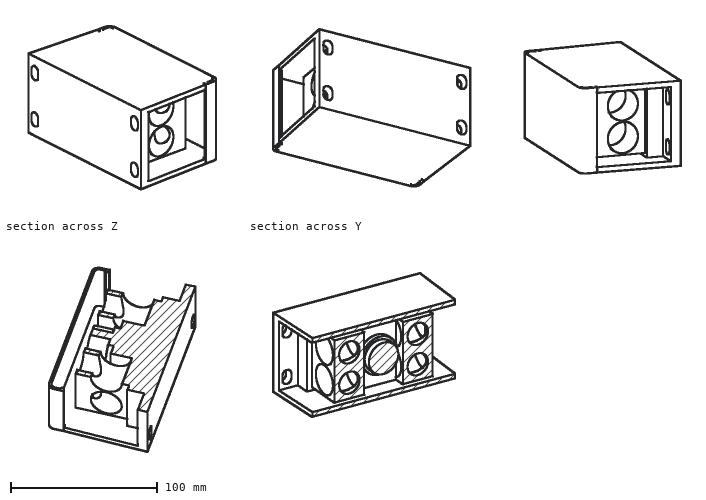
import cadquery as cq

width = 118.0
depth = 72.0
height = 60.0

front_wall = 7.1
plate_thickness = 3.9
cavity_height = height - 2 * plate_thickness
shoulder_y = 60.0

cover_thickness = 2.0
side_inset = 2.0
cover_outer_radius = 5.0
cover_inner_radius = cover_outer_radius - cover_thickness
lip_gap = 0.5
side_gap = 0.2
bead_radius = 2.0
bead_reach = 1.2
cover_half_width = width / 2 - side_inset
inner_half_width = cover_half_width - cover_thickness
cover_inner_y = depth - cover_thickness
lip_y = shoulder_y + lip_gap

slot_width = 7.1
slot_length = 10.5
slot_spacing_x = 104.5
slot_spacing_z = 35.0

base_back_y = 18.9
block_back_y = 56.9
block_height = 47.4
block_width = 24.1
block_outer_x = 39.5
base_margin = 4.0
block_center_x = block_outer_x - block_width / 2
cable_hole_diameter = 22.0
cable_hole_spacing = 23.0
cable_hole_y = 34.9
screw_bore_diameter = 16.0

pedestal_back_y = 38.9
pedestal_width = 2 * (block_outer_x - block_width)
collar_diameter = 28.5
collar_height = 3.9
stud_diameter = 24.1


def box_between(x_size, z_size, y_start, y_end, x_center=0):
    """Box centred on z = 0 that spans y_start to y_end."""
    box = cq.Workplane("XY").box(x_size, y_end - y_start, z_size, centered=(True, False, True))
    return box.translate((x_center, y_start, 0))


def y_cylinder(diameter, y_start, y_end, x=0, z=0):
    """Cylinder along +Y."""
    return cq.Workplane(
        cq.Solid.makeCylinder(diameter / 2, y_end - y_start, cq.Vector(x, y_start, z), cq.Vector(0, 1, 0))
    )


def make_housing():
    recess_half_width = inner_half_width - side_gap
    outline = (
        cq.Workplane("XY")
        .workplane(offset=-height / 2)
        .moveTo(-width / 2, 0)
        .lineTo(width / 2, 0)
        .lineTo(cover_half_width, shoulder_y)
        .lineTo(recess_half_width, shoulder_y)
        .lineTo(recess_half_width, cover_inner_y - cover_inner_radius)
        .radiusArc((recess_half_width - cover_inner_radius, cover_inner_y), -cover_inner_radius)
        .lineTo(cover_inner_radius - recess_half_width, cover_inner_y)
        .radiusArc((-recess_half_width, cover_inner_y - cover_inner_radius), -cover_inner_radius)
        .lineTo(-recess_half_width, shoulder_y)
        .lineTo(-cover_half_width, shoulder_y)
        .close()
    )
    housing = outline.extrude(height)
    cavity = box_between(width, cavity_height, front_wall, depth)
    slots = (
        cq.Workplane("XZ")
        .rarray(slot_spacing_x, slot_spacing_z, 2, 2)
        .slot2D(slot_length, slot_width, 90)
        .extrude(-front_wall)
    )
    return housing.cut(cavity).cut(slots)


def make_cover():
    outer = box_between(2 * cover_half_width, height, lip_y, depth)
    outer = outer.edges("|Z and >Y").fillet(cover_outer_radius)
    inner = box_between(2 * inner_half_width, height, lip_y, cover_inner_y)
    inner = inner.edges("|Z and >Y").fillet(cover_inner_radius)
    cover = outer.cut(inner)

    bead_tip_x = inner_half_width - bead_reach
    bead_tip_y = lip_y + bead_radius
    bead = (
        cq.Workplane("XY")
        .workplane(offset=-height / 2)
        .moveTo(bead_tip_x + bead_radius, lip_y)
        .radiusArc((bead_tip_x, bead_tip_y), bead_radius)
        .lineTo(inner_half_width, bead_tip_y + bead_reach)
        .lineTo(bead_tip_x + bead_radius, bead_tip_y + bead_reach)
        .close()
        .extrude(height)
    )
    return cover.union(bead).union(bead.mirror("YZ"))


def make_terminal_block(x_center):
    block = box_between(block_width, block_height, base_back_y, block_back_y, x_center)
    for z in (-cable_hole_spacing / 2, cable_hole_spacing / 2):
        cable_hole = (
            cq.Workplane("YZ")
            .center(cable_hole_y, z)
            .circle(cable_hole_diameter / 2)
            .extrude(block_width / 2, both=True)
            .translate((x_center, 0, 0))
        )
        screw_bore = y_cylinder(screw_bore_diameter, cable_hole_y, block_back_y, x_center, z)
        block = block.cut(cable_hole).cut(screw_bore)
    return block


def make_stud():
    collar_back_y = pedestal_back_y + collar_height
    pedestal = box_between(pedestal_width, block_height, base_back_y, pedestal_back_y)
    collar = y_cylinder(collar_diameter, pedestal_back_y, collar_back_y)
    shaft = y_cylinder(stud_diameter, collar_back_y, block_back_y)
    return pedestal.union(collar).union(shaft)


base = box_between(2 * (block_outer_x + base_margin), cavity_height, front_wall, base_back_y)
result = make_housing().union(make_cover()).union(base).union(make_stud())
for side in (-1, 1):
    result = result.union(make_terminal_block(side * block_center_x))